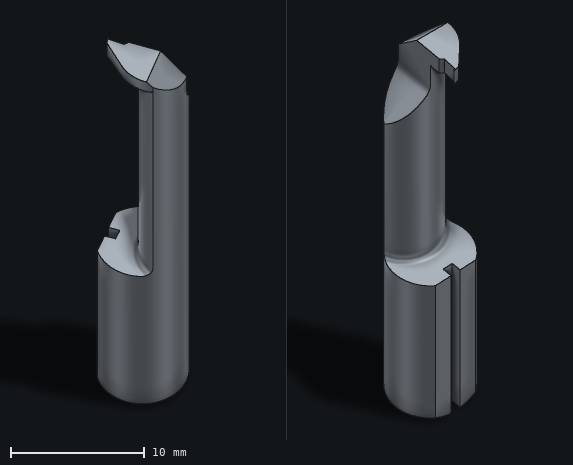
import cadquery as cq
import math

total_length = 37.0
shank_diameter = 7.0
width_over_flat = 6.35
shank_radius = shank_diameter / 2
shank_top = 15.0
flat_x = shank_radius - width_over_flat
end_chamfer = 0.55
slot_width = 0.9
slot_depth = 0.9

neck_centre_x = 3.0
neck_radius = 3.15
root_fillet = 0.75

tip_x = -2.78
tip_front_x = -2.65
tip_front_y = -0.48
heel_x = -0.9
heel_y = -2.15
head_thickness = 1.55
top_relief = 4.0
bottom_relief = 5.0
bevel_start_x = 1.4

rake_y = 0.1
ramp_bottom_z = 29.5
ramp_top_z = 32.82
ramp_blend = 1.48

groove_start_x = -2.63
groove_end_x = -1.1
groove_floor_y = -0.2
groove_lead_y = -0.1
edge_y = 0.092

margin = 1.85

neck_edge_x = (shank_radius**2 + neck_centre_x**2 - neck_radius**2) / (2 * neck_centre_x)
neck_half_width = math.sqrt(shank_radius**2 - neck_edge_x**2)


def cylinder(radius, bottom, top, centre_x=0.0):
    return cq.Workplane("XY", origin=(centre_x, 0, bottom)).circle(radius).extrude(top - bottom)


def make_shank():
    """Round bar with an end chamfer, a clamping flat and a keyway along the flat."""
    shank = cylinder(shank_radius, 0, shank_top).faces("<Z").chamfer(end_chamfer)
    flat = cq.Workplane("XY").box(
        margin, 3 * shank_radius, 3 * shank_top
    ).translate((flat_x - margin / 2, 0, 0))
    slot = cq.Workplane("XY").box(
        2 * slot_depth, slot_width, 3 * shank_top
    ).translate((flat_x, 0, 0))
    return shank.cut(flat).cut(slot)


def make_neck():
    """Neck with a concave root fillet, revolved about its own eccentric axis."""
    root_radius = neck_radius + root_fillet
    bend = root_fillet * (1 - math.sqrt(0.5))
    profile = (
        cq.Workplane("XZ", origin=(neck_centre_x, 0, 0))
        .moveTo(0, shank_top - margin)
        .lineTo(root_radius, shank_top - margin)
        .lineTo(root_radius, shank_top)
        .threePointArc(
            (neck_radius + bend, shank_top + bend),
            (neck_radius, shank_top + root_fillet),
        )
        .lineTo(neck_radius, total_length)
        .lineTo(0, total_length)
        .close()
    )
    neck = profile.revolve(360, (0, 0, 0), (0, 1, 0))
    return neck.intersect(cylinder(shank_radius, shank_top, total_length))


def make_ramp_cut():
    """Removes the +Y half of the neck top down to the rake plane."""
    far_y = shank_radius + margin
    ramp_slope = (ramp_top_z - ramp_bottom_z) / (neck_half_width - rake_y)
    outer_z = ramp_top_z - ramp_slope * (far_y - rake_y)
    block = (
        cq.Workplane("YZ", origin=(-2 * shank_radius, 0, 0))
        .moveTo(rake_y, ramp_top_z)
        .lineTo(far_y, outer_z)
        .lineTo(far_y, total_length + margin)
        .lineTo(rake_y, total_length + margin)
        .close()
        .extrude(4 * shank_radius)
    )
    inner_corner = cq.selectors.NearestToPointSelector((0, rake_y, ramp_top_z))
    return block.edges(inner_corner).fillet(ramp_blend)


def make_head():
    """Hooked cutting head: plan outline with a chip groove and a relieved underside."""
    underside = total_length - head_thickness
    head = (
        cq.Workplane("XY", origin=(0, 0, underside))
        .moveTo(groove_end_x, rake_y)
        .lineTo(groove_end_x - (rake_y - groove_floor_y), groove_floor_y)
        .lineTo(groove_start_x, groove_lead_y)
        .lineTo(tip_x, edge_y)
        .lineTo(tip_front_x, tip_front_y)
        .lineTo(heel_x, heel_y)
        .tangentArcPoint((neck_edge_x, -neck_half_width), relative=False)
        .lineTo(shank_radius, -neck_half_width)
        .lineTo(shank_radius, rake_y)
        .close()
        .extrude(head_thickness)
    )
    relief = (
        cq.Workplane("XY")
        .box(4 * shank_radius, 4 * shank_radius, margin)
        .translate((0, 0, -margin / 2))
        .rotate((0, 0, 0), (1, 0, 0), -bottom_relief)
        .translate((0, rake_y, underside))
    )
    return head.cut(relief).intersect(cylinder(shank_radius, underside, total_length))


def make_top_cut():
    """Relieved top face and 45 degree back bevel, both falling towards -Y."""
    reach = 2 * shank_radius
    return (
        cq.Workplane("XZ", origin=(0, reach, 0))
        .moveTo(-reach, 0)
        .lineTo(bevel_start_x, 0)
        .lineTo(reach, bevel_start_x - reach)
        .lineTo(reach, margin)
        .lineTo(-reach, margin)
        .close()
        .extrude(2 * reach)
        .rotate((0, 0, 0), (1, 0, 0), top_relief)
        .translate((0, rake_y, total_length))
    )


neck = make_neck().cut(make_ramp_cut())
result = make_shank().union(neck).union(make_head()).cut(make_top_cut())